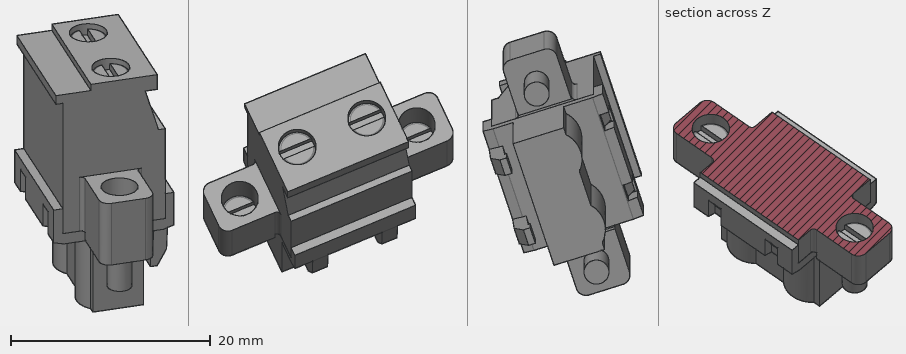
import cadquery as cq
import math

TOTAL_HEIGHT = 26.0
BODY_WIDTH = 13.25
POLE_PITCH = 7.62
POLE_Y = 0.9

HOUSING_BACK = 5.75
HOUSING_FRONT = -5.0
HOUSING_BOTTOM = 9.46
CAP_BOTTOM = 24.3
CAP_BACK = 4.91
CAP_FRONT = -5.72
CAP_STEP_Y = -2.05
CAP_STEP_DEPTH = 0.7
SLOPE_TOP_Y = 3.67
SLOPE_BOTTOM_Y = 5.05
SHOULDER_Z = 19.7

FLANGE_SPAN = 25.6
FLANGE_DEPTH = 5.6
FLANGE_BOTTOM = 8.58
FLANGE_TOP = 15.6
FLANGE_CORNER_RADIUS = 1.01
NECK_RADIUS = 0.45

BASE_BACK = 6.65
BASE_FRONT = -5.95
BASE_TOP = 12.3
BASE_BOTTOM = 8.27
BEVEL_HEIGHT = 0.3
BEVEL_DEPTH = 1.07

PLUG_BACK = 3.48
PLUG_OUTER_FRONT = -1.85
PLUG_INNER_FRONT = -1.95
LOBE_RADIUS = 2.95
LOBE_TIP = -2.7

WINDOW_WIDTH = 1.7
WINDOW_TOP = 11.1
CATCH_WIDTH = 1.38
CATCH_TOP = 11.02
CATCH_REACH = 0.73

LATCH_WIDTH = WINDOW_WIDTH
LATCH_ROOT_INNER_Y = 5.23
LATCH_NECK_INNER_Y = 5.02
LATCH_OUTER_Y = 6.5
LATCH_TIP_OUTER_Y = 5.5
LATCH_TIP_INNER_Y = 4.8
LATCH_HOOK_Z = 4.85
LATCH_TIP_Z = 3.1

HEAD_DIAMETER = 3.7
HEAD_ROUNDING = 0.2
SLOT_DEPTH = 0.75
CLAMP_HOLE_DIAMETER = 3.8
CLAMP_RECESS = 0.5
CLAMP_SCREW_LENGTH = 2.6
CLAMP_SLOT_WIDTH = 0.88
FLANGE_SCREW_PITCH = 19.4
FLANGE_HEAD_TOP = 11.7
FLANGE_HEAD_HEIGHT = 1.55
FLANGE_SHANK_DIAMETER = 2.5
FLANGE_SHANK_BOTTOM = 4.35
FLANGE_SLOT_WIDTH = 0.95

POLE_XS = (-POLE_PITCH / 2, POLE_PITCH / 2)
FLANGE_XS = (-FLANGE_SCREW_PITCH / 2, FLANGE_SCREW_PITCH / 2)
CLAMP_SCREW_TOP = TOTAL_HEIGHT - CLAMP_RECESS
CLAMP_SCREW_BOTTOM = CLAMP_SCREW_TOP - CLAMP_SCREW_LENGTH
FLANGE_HEAD_BOTTOM = FLANGE_HEAD_TOP - FLANGE_HEAD_HEIGHT


def prism(points, width, center_x=0.0):
    """Extrude a (Y, Z) outline along X, centred on center_x."""
    outline = cq.Workplane("YZ", origin=(center_x, 0, 0)).polyline(points).close()
    return outline.extrude(width / 2, both=True)


def cylinder(diameter, bottom, top, x, y):
    """Vertical cylinder between two heights."""
    return cq.Workplane("XY", origin=(x, y, bottom)).circle(diameter / 2).extrude(top - bottom)


def slotted_head(bottom, top, slot_width, x, y):
    """Screw head with a rounded rim and a driver slot along X."""
    head = cylinder(HEAD_DIAMETER, bottom, top, x, y).faces(">Z").fillet(HEAD_ROUNDING)
    slot = cq.Workplane("XY", origin=(x, y, top)).rect(2 * HEAD_DIAMETER, slot_width).extrude(-SLOT_DEPTH)
    return head.cut(slot)


def flange_ear(side):
    """Ear on one side (-1 or +1) of the housing, joined to it by a flared neck."""
    half_depth = FLANGE_DEPTH / 2
    wall_x = BODY_WIDTH / 2
    neck_x = wall_x + NECK_RADIUS
    outer_x = FLANGE_SPAN / 2
    ear = (
        cq.Workplane("XY", origin=(0, 0, FLANGE_BOTTOM))
        .moveTo((neck_x + outer_x) / 2, 0)
        .rect(outer_x - neck_x, FLANGE_DEPTH)
        .extrude(FLANGE_TOP - FLANGE_BOTTOM)
        .edges("|Z and >X")
        .fillet(FLANGE_CORNER_RADIUS)
    )
    neck = (
        cq.Workplane("XY", origin=(0, 0, HOUSING_BOTTOM))
        .moveTo(wall_x, -half_depth - NECK_RADIUS)
        .radiusArc((neck_x, -half_depth), NECK_RADIUS)
        .lineTo(neck_x, half_depth)
        .radiusArc((wall_x, half_depth + NECK_RADIUS), NECK_RADIUS)
        .close()
        .extrude(FLANGE_TOP - HOUSING_BOTTOM)
    )
    flange = ear.union(neck)
    return flange if side > 0 else flange.mirror("YZ")


def snap_catch(x):
    """Wedge on the housing front that widens upward to a flat top inside a base window."""
    return prism(
        [
            (HOUSING_FRONT, HOUSING_BOTTOM),
            (HOUSING_FRONT - CATCH_REACH, CATCH_TOP),
            (HOUSING_FRONT, CATCH_TOP),
        ],
        CATCH_WIDTH,
        x,
    )


def make_housing():
    """Terminal housing with its cap, flange ears and snap catches."""
    cap_step_z = TOTAL_HEIGHT - CAP_STEP_DEPTH
    housing = prism(
        [
            (HOUSING_FRONT, HOUSING_BOTTOM),
            (HOUSING_BACK, HOUSING_BOTTOM),
            (HOUSING_BACK, SHOULDER_Z),
            (SLOPE_BOTTOM_Y, SHOULDER_Z),
            (SLOPE_TOP_Y, CAP_BOTTOM),
            (CAP_BACK, CAP_BOTTOM),
            (CAP_BACK, TOTAL_HEIGHT),
            (CAP_STEP_Y, TOTAL_HEIGHT),
            (CAP_STEP_Y, cap_step_z),
            (CAP_FRONT, cap_step_z),
            (CAP_FRONT, CAP_BOTTOM),
            (HOUSING_FRONT, CAP_BOTTOM),
        ],
        BODY_WIDTH,
    )
    for side in (-1, 1):
        housing = housing.union(flange_ear(side))
    for x in POLE_XS:
        housing = housing.cut(cylinder(CLAMP_HOLE_DIAMETER, CLAMP_SCREW_BOTTOM, TOTAL_HEIGHT, x, POLE_Y))
        housing = housing.union(snap_catch(x))
    for x in FLANGE_XS:
        housing = housing.cut(cylinder(HEAD_DIAMETER, FLANGE_HEAD_BOTTOM, FLANGE_TOP, x, 0))
        housing = housing.cut(cylinder(FLANGE_SHANK_DIAMETER, FLANGE_BOTTOM, FLANGE_HEAD_BOTTOM, x, 0))
    return housing


def make_plug():
    """Plug block with one rounded lobe per pole; its front stands further out between the lobes."""
    half_width = BODY_WIDTH / 2
    lobe_x = POLE_PITCH / 2
    lobe_center_y = LOBE_TIP + LOBE_RADIUS
    outer_reach = math.sqrt(LOBE_RADIUS**2 - (lobe_center_y - PLUG_OUTER_FRONT) ** 2)
    inner_reach = math.sqrt(LOBE_RADIUS**2 - (lobe_center_y - PLUG_INNER_FRONT) ** 2)
    return (
        cq.Workplane("XY")
        .moveTo(-half_width, PLUG_BACK)
        .lineTo(-half_width, PLUG_OUTER_FRONT)
        .lineTo(-lobe_x - outer_reach, PLUG_OUTER_FRONT)
        .threePointArc((-lobe_x, LOBE_TIP), (-lobe_x + inner_reach, PLUG_INNER_FRONT))
        .lineTo(lobe_x - inner_reach, PLUG_INNER_FRONT)
        .threePointArc((lobe_x, LOBE_TIP), (lobe_x + outer_reach, PLUG_OUTER_FRONT))
        .lineTo(half_width, PLUG_OUTER_FRONT)
        .lineTo(half_width, PLUG_BACK)
        .close()
        .extrude(BASE_BOTTOM)
    )


def latch_hook(x):
    """Hook hanging from the back of the base."""
    return prism(
        [
            (BASE_BACK, BASE_BOTTOM + BEVEL_HEIGHT),
            (LATCH_OUTER_Y, LATCH_HOOK_Z),
            (LATCH_TIP_OUTER_Y, LATCH_TIP_Z),
            (LATCH_TIP_INNER_Y, LATCH_TIP_Z),
            (LATCH_TIP_INNER_Y, LATCH_HOOK_Z),
            (LATCH_NECK_INNER_Y, LATCH_HOOK_Z),
            (LATCH_ROOT_INNER_Y, BASE_BOTTOM),
            (LATCH_ROOT_INNER_Y, BASE_BOTTOM + BEVEL_HEIGHT),
        ],
        LATCH_WIDTH,
        x,
    )


def front_window(x):
    """Cutter for an opening through the front wall, open at the bottom."""
    return prism(
        [
            (BASE_FRONT, BASE_BOTTOM),
            (HOUSING_FRONT, BASE_BOTTOM),
            (HOUSING_FRONT, WINDOW_TOP),
            (BASE_FRONT, WINDOW_TOP),
        ],
        WINDOW_WIDTH,
        x,
    )


def make_base():
    """Channel that holds the housing, with the plug below and the latch hooks behind."""
    bevel_top = BASE_BOTTOM + BEVEL_HEIGHT
    base = prism(
        [
            (BASE_FRONT, BASE_TOP),
            (HOUSING_FRONT, BASE_TOP),
            (HOUSING_FRONT, HOUSING_BOTTOM),
            (HOUSING_BACK, HOUSING_BOTTOM),
            (HOUSING_BACK, BASE_TOP),
            (BASE_BACK, BASE_TOP),
            (BASE_BACK, bevel_top),
            (BASE_BACK - BEVEL_DEPTH, BASE_BOTTOM),
            (BASE_FRONT + BEVEL_DEPTH, BASE_BOTTOM),
            (BASE_FRONT, bevel_top),
        ],
        BODY_WIDTH,
    )
    base = base.union(make_plug())
    for x in POLE_XS:
        base = base.cut(front_window(x)).union(latch_hook(x))
    return base


def make_clamp_screw(x):
    """Wire clamp screw in the top of the housing."""
    return slotted_head(CLAMP_SCREW_BOTTOM, CLAMP_SCREW_TOP, CLAMP_SLOT_WIDTH, x, POLE_Y)


def make_flange_screw(x):
    """Fixing screw sunk in a flange ear."""
    head = slotted_head(FLANGE_HEAD_BOTTOM, FLANGE_HEAD_TOP, FLANGE_SLOT_WIDTH, x, 0)
    shank = cylinder(FLANGE_SHANK_DIAMETER, FLANGE_SHANK_BOTTOM, FLANGE_HEAD_BOTTOM, x, 0)
    return head.union(shank)


housing = make_housing()
base = make_base()
clamp_screws = [make_clamp_screw(x).val() for x in POLE_XS]
flange_screws = [make_flange_screw(x).val() for x in FLANGE_XS]

result = cq.Compound.makeCompound([housing.val(), base.val(), *clamp_screws, *flange_screws])